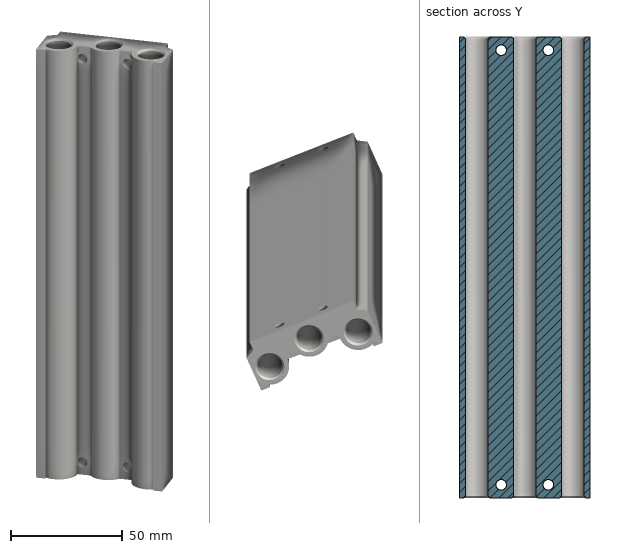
import cadquery as cq
import math

width = 59.0
depth = 23.5
length = 207.0
half_width = width / 2
back_y = depth / 2
foot_y = -depth / 2

shoulder_x = 25.3
shoulder_drop = 4.1
shoulder_angle = 30.0
foot_inner_x = shoulder_x

channel_diameter = 11.4
channel_mouth_diameter = 13.0
boss_radius = 8.7
side_channel_x = 21.5
side_channel_y = back_y - 14.5
center_channel_y = back_y - 9.0
web_front_y = back_y - 14.3

mount_hole_diameter = 4.5
mount_hole_x = 10.5
mount_hole_end_distance = 6.0

channel_centers = [
    (-side_channel_x, side_channel_y),
    (0, center_channel_y),
    (side_channel_x, side_channel_y),
]


def make_profile_body():
    """Extrude the mirror-symmetric manifold outline along Z."""
    shoulder_y = back_y - shoulder_drop
    side_y = shoulder_y - (half_width - shoulder_x) * math.tan(math.radians(shoulder_angle))

    boss_start_y = side_channel_y - math.sqrt(boss_radius**2 - (foot_inner_x - side_channel_x) ** 2)
    arc_offset = boss_radius * math.sqrt(0.5)
    boss_middle = (side_channel_x - arc_offset, side_channel_y - arc_offset)
    boss_end_x = side_channel_x - math.sqrt(boss_radius**2 - (web_front_y - side_channel_y) ** 2)

    center_boss_x = math.sqrt(boss_radius**2 - (center_channel_y - web_front_y) ** 2)
    center_boss_tip = (0, center_channel_y - boss_radius)

    return (
        cq.Workplane("XY")
        .moveTo(0, back_y)
        .lineTo(shoulder_x, back_y)
        .lineTo(shoulder_x, shoulder_y)
        .lineTo(half_width, side_y)
        .lineTo(half_width, foot_y)
        .lineTo(foot_inner_x, foot_y)
        .lineTo(foot_inner_x, boss_start_y)
        .threePointArc(boss_middle, (boss_end_x, web_front_y))
        .lineTo(center_boss_x, web_front_y)
        .threePointArc(center_boss_tip, (-center_boss_x, web_front_y))
        .lineTo(-boss_end_x, web_front_y)
        .threePointArc((-boss_middle[0], boss_middle[1]), (-foot_inner_x, boss_start_y))
        .lineTo(-foot_inner_x, foot_y)
        .lineTo(-half_width, foot_y)
        .lineTo(-half_width, side_y)
        .lineTo(-shoulder_x, shoulder_y)
        .lineTo(-shoulder_x, back_y)
        .close()
        .extrude(length)
    )


def make_channel(x, y):
    """Through channel with a 45-degree chamfer at each end, as a cutting solid."""
    radius = channel_diameter / 2
    mouth_radius = channel_mouth_diameter / 2
    chamfer = mouth_radius - radius
    return (
        cq.Workplane("XZ")
        .moveTo(0, 0)
        .lineTo(mouth_radius, 0)
        .lineTo(radius, chamfer)
        .lineTo(radius, length - chamfer)
        .lineTo(mouth_radius, length)
        .lineTo(0, length)
        .close()
        .revolve(360, (0, 0, 0), (0, 1, 0))
        .translate((x, y, 0))
    )


def make_mount_holes():
    """Four front-to-back holes, two near each end, as cutting solids."""
    centers = [
        (x, z)
        for x in (-mount_hole_x, mount_hole_x)
        for z in (mount_hole_end_distance, length - mount_hole_end_distance)
    ]
    return (
        cq.Workplane("XZ")
        .pushPoints(centers)
        .circle(mount_hole_diameter / 2)
        .extrude(depth, both=True)
    )


result = make_profile_body()
for channel_x, channel_y in channel_centers:
    result = result.cut(make_channel(channel_x, channel_y))
result = result.cut(make_mount_holes())